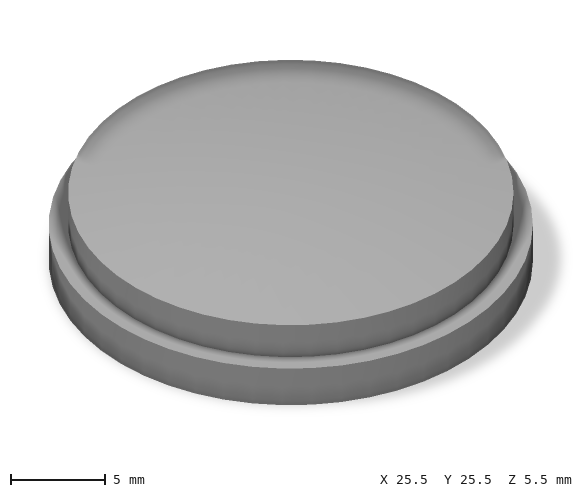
import cadquery as cq

base_diameter = 25.5
total_height = 5.5
base_height = 2.4
step_width = 1.02
dome_height = 1.02

base_radius = base_diameter / 2
body_radius = base_radius - step_width
dome_edge_height = total_height - dome_height

dome_radius = (body_radius**2 + dome_height**2) / (2 * dome_height)
dome_center_height = total_height - dome_radius
half_rim_radius = body_radius / 2
dome_mid_height = dome_center_height + (dome_radius**2 - half_rim_radius**2) ** 0.5

half_profile = (
    cq.Workplane("XZ")
    .lineTo(base_radius, 0)
    .lineTo(base_radius, base_height)
    .lineTo(body_radius, base_height)
    .lineTo(body_radius, dome_edge_height)
    .threePointArc((half_rim_radius, dome_mid_height), (0, total_height))
    .close()
)

result = half_profile.revolve(360, (0, 0, 0), (0, 1, 0))